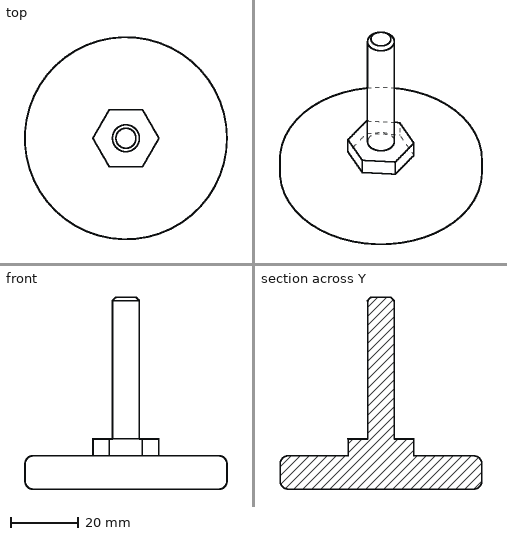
import cadquery as cq
import math

total_height = 57.0

pad_diameter = 60.0
pad_thickness = 10.0
pad_edge_radius = 2.5

hex_across_flats = 17.0
hex_height = 5.0

rod_diameter = 8.0
rod_tip_chamfer = 1.0


def make_pad():
    """Disc with both rims rounded, standing on Z = 0."""
    disc = cq.Workplane("XY").circle(pad_diameter / 2).extrude(pad_thickness)
    return disc.edges("%CIRCLE").fillet(pad_edge_radius)


def make_hex():
    """Hexagon on top of the pad, with two corners on the X axis."""
    across_corners = hex_across_flats / math.cos(math.pi / 6)
    base = cq.Workplane("XY").workplane(offset=pad_thickness)
    return base.polygon(6, across_corners).extrude(hex_height)


def make_rod():
    """Rod rising from the pad to the full height, with a chamfered tip."""
    base = cq.Workplane("XY").workplane(offset=pad_thickness)
    rod = base.circle(rod_diameter / 2).extrude(total_height - pad_thickness)
    return rod.faces(">Z").edges().chamfer(rod_tip_chamfer)


result = make_pad().union(make_hex()).union(make_rod())